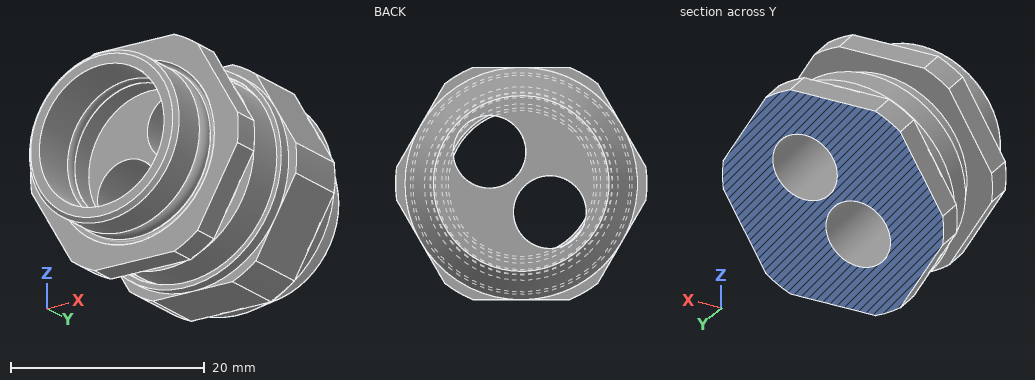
import cadquery as cq
import math

LENGTH = 30.12

THREAD_END = 4.2
NUT_START = 6.0
NUT_END = 8.98
NECK_END = 11.5
CAP_START = 15.3
CAP_HEX_START = 16.65
CAP_HEX_END = 23.7
CONE_START = 25.0

THREAD_DIA = 18.73
UNDERCUT_DIA = 16.45
NECK_DIA = 20.0
BARREL_DIA = 22.38
HEX_FLATS = 24.0
HEX_CORNER_DIA = 26.0
CAP_DIA = HEX_FLATS
CAP_TIP_DIA = 18.15

THREAD_CHAMFER = 0.48
HEX_SIDES = 6

RING_OUTER_DIA = 18.9
RING_INNER_DIA = 15.05
RING_CENTER = 5.8
RECESS_DIA = NECK_DIA
RECESS_DEPTH = 0.6

CAP_MOUTH_DIA = 22.9
CAP_MOUTH_DEPTH = 1.2

BORE_DIA = 15.6
BORE_DEPTH = 9.05

CABLE_HOLE_DIA = 7.5
CABLE_HOLE_OFFSETS = (-2.95, 3.28)


def cylinder(dia, start, end):
    """Solid cylinder along Y between two stations."""
    return cq.Workplane("XZ", origin=(0, start, 0)).circle(dia / 2).extrude(start - end)


def hexagon(start, end):
    """Hexagon with flats facing +Z and -Z, its corners turned down to a cylinder."""
    corner_span = HEX_FLATS / math.cos(math.pi / HEX_SIDES)
    prism = cq.Workplane("XZ", origin=(0, start, 0)).polygon(HEX_SIDES, corner_span).extrude(start - end)
    return prism.intersect(cylinder(HEX_CORNER_DIA, start, end))


def thread():
    """Plain thread envelope with a chamfered free end."""
    return cylinder(THREAD_DIA, 0, THREAD_END).faces("<Y").chamfer(THREAD_CHAMFER)


def nut():
    """Hexagon with a round-bottomed recess around the sealing ring."""
    fillet = (RECESS_DIA - RING_OUTER_DIA) / 2
    recess = cylinder(RECESS_DIA, NUT_START, NUT_START + RECESS_DEPTH).faces(">Y").edges().fillet(fillet)
    return hexagon(NUT_START, NUT_END).cut(recess)


def sealing_ring():
    """Torus around Y, its section drawn from the +Y side so that its seam lies buried in the nut."""
    ring_radius = (RING_OUTER_DIA + RING_INNER_DIA) / 4
    section_radius = (RING_OUTER_DIA - RING_INNER_DIA) / 4
    section_plane = cq.Plane(origin=(ring_radius, RING_CENTER, 0), xDir=(0, 1, 0), normal=(0, 0, 1))
    section = cq.Workplane(section_plane).circle(section_radius)
    return section.revolve(360, (0, ring_radius), (1, ring_radius))


def cap():
    """Collared hexagon with a conical tip, and a wider mouth that leaves a gap around the barrel."""
    tip = (
        cq.Workplane("XZ", origin=(0, CONE_START, 0))
        .circle(CAP_DIA / 2)
        .workplane(offset=CONE_START - LENGTH)
        .circle(CAP_TIP_DIA / 2)
        .loft(ruled=True)
    )
    mouth = cylinder(CAP_MOUTH_DIA, CAP_START, CAP_START + CAP_MOUTH_DEPTH)
    sleeve = cylinder(CAP_DIA, CAP_START, CONE_START).cut(mouth)
    return sleeve.union(tip).union(hexagon(CAP_HEX_START, CAP_HEX_END))


result = (
    cylinder(UNDERCUT_DIA, 0, NUT_END)
    .union(thread())
    .union(nut())
    .union(cylinder(NECK_DIA, NUT_END, NECK_END))
    .union(cylinder(BARREL_DIA, NECK_END, CAP_HEX_START))
    .union(cap())
)

result = result.cut(cylinder(BORE_DIA, 0, BORE_DEPTH)).union(sealing_ring())

for offset in CABLE_HOLE_OFFSETS:
    hole = cylinder(CABLE_HOLE_DIA, BORE_DEPTH, LENGTH).translate((offset, 0, offset))
    result = result.cut(hole)